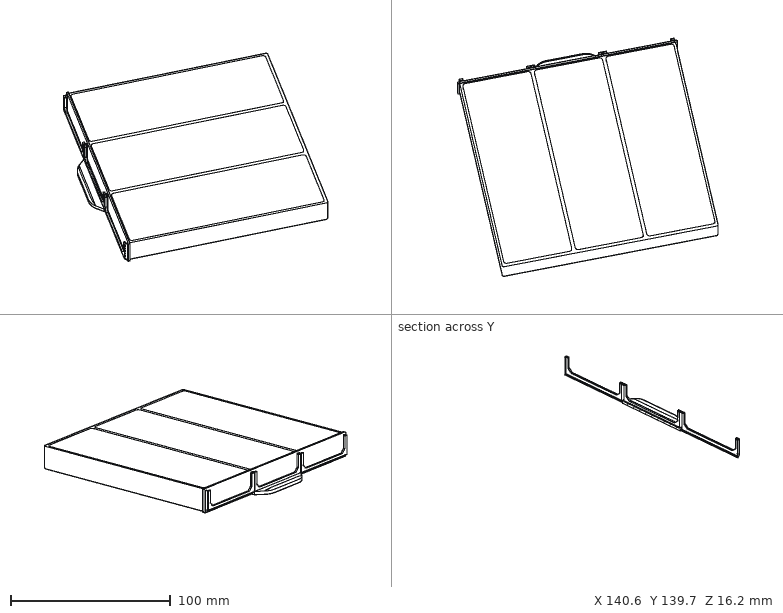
import cadquery as cq
import math


compartment_count = 3
tray_width = 138.1
tray_back = 130.5
tray_height = 15.6
tray_corner_radius = 1.1
tray_bottom_radius = 1.7
side_wall = 1.5
front_wall = 1.8
rear_wall = 2.0
divider = 2.2
compartment_width = (tray_width - 2 * side_wall - (compartment_count - 1) * divider) / compartment_count
pitch = compartment_width + divider
floor = 1.7
pocket_radius = 1.8

panel_width = 140.6
panel_height = 16.2
panel_thickness = 1.1
panel_corner_radius = 1.4

holder_pitch = 46.0
holder_gap = 0.5
holder_width = holder_pitch - holder_gap
holder_depth = 2.2
holder_top = 14.8
lip_thickness = 1.1
slot_end_wall = 0.7
slot_floor = 1.5
window_side = 2.2
window_bottom = 3.8
window_chamfer = 2.5

tab_reach = 7.0
tab_width = holder_pitch
side_angle = 45
tab_thickness = 2.2
tab_corner_radius = 9.8
ridge_height = 1.4


def box(x_min, x_max, y_min, y_max, z_min, z_max):
    """Box given by its limits along each axis."""
    size = (x_max - x_min, y_max - y_min, z_max - z_min)
    return cq.Workplane("XY").box(*size, centered=False).translate((x_min, y_min, z_min))


def yz_prism(points, width):
    """Prism with a (Y, Z) outline, centred on X = 0."""
    return cq.Workplane("YZ").polyline(points).close().extrude(width / 2, both=True)


def make_tray():
    body = box(-tray_width / 2, tray_width / 2, 0, tray_back, 0, tray_height)
    body = body.edges("|Z and >Y").fillet(tray_corner_radius)
    return body.faces("<Z").edges("not <Y").fillet(tray_bottom_radius)


def make_pocket():
    half_width = compartment_width / 2
    pocket = box(-half_width, half_width, front_wall, tray_back - rear_wall, floor, panel_height)
    return pocket.edges("|Z or <Z").fillet(pocket_radius)


def make_panel():
    panel = box(-panel_width / 2, panel_width / 2, 0, panel_thickness, 0, panel_height)
    return panel.edges("|Y").fillet(panel_corner_radius)


def make_holder():
    side_outline = [(0, 0), (-holder_depth, holder_depth), (-holder_depth, holder_top), (0, holder_top)]
    holder = yz_prism(side_outline, holder_width)

    half_slot = holder_width / 2 - slot_end_wall
    slot_front = lip_thickness - holder_depth
    slot = box(-half_slot, half_slot, slot_front, 0, slot_floor, panel_height)

    half_window = holder_width / 2 - window_side
    window = box(-half_window, half_window, -holder_depth, slot_front, window_bottom, panel_height)
    window = window.edges("|Y and <Z").chamfer(window_chamfer)
    return holder.cut(slot).cut(window)


def make_tab():
    height = tab_thickness + ridge_height
    tip_y = -holder_depth - tab_reach
    half_width = tab_width / 2

    slant = math.radians(side_angle)
    arc_run = tab_corner_radius * math.sin(slant)
    arc_rise = tab_corner_radius * (1 - math.cos(slant))
    side_run = (tab_reach - arc_rise) / math.tan(slant)
    side_end = (half_width - side_run, tip_y + arc_rise)
    front_end = (side_end[0] - arc_run, tip_y)
    arc_middle = (front_end[0] + tab_corner_radius * math.sin(slant / 2),
                  tip_y + tab_corner_radius * (1 - math.cos(slant / 2)))
    tab = (
        cq.Workplane("XY")
        .moveTo(-half_width, 0)
        .lineTo(-half_width, -holder_depth)
        .lineTo(-side_end[0], side_end[1])
        .threePointArc((-arc_middle[0], arc_middle[1]), (-front_end[0], tip_y))
        .lineTo(front_end[0], tip_y)
        .threePointArc(arc_middle, side_end)
        .lineTo(half_width, -holder_depth)
        .lineTo(half_width, 0)
        .close()
        .extrude(height)
    )

    tab = tab.faces(">Z").edges("<Y or %CIRCLE").chamfer(ridge_height)
    ridge_back = tip_y + 2 * ridge_height
    behind_ridge = yz_prism(
        [(0, tab_thickness), (ridge_back, tab_thickness),
         (ridge_back - ridge_height, height), (0, height)],
        panel_width,
    )
    return tab.cut(behind_ridge)


holder = make_holder()
pocket = make_pocket()
result = make_tray().union(make_panel())
for index in range(compartment_count):
    steps = index - (compartment_count - 1) / 2
    result = result.cut(pocket.translate((steps * pitch, 0, 0)))
    result = result.union(holder.translate((steps * holder_pitch, 0, 0)))
result = result.union(make_tab())